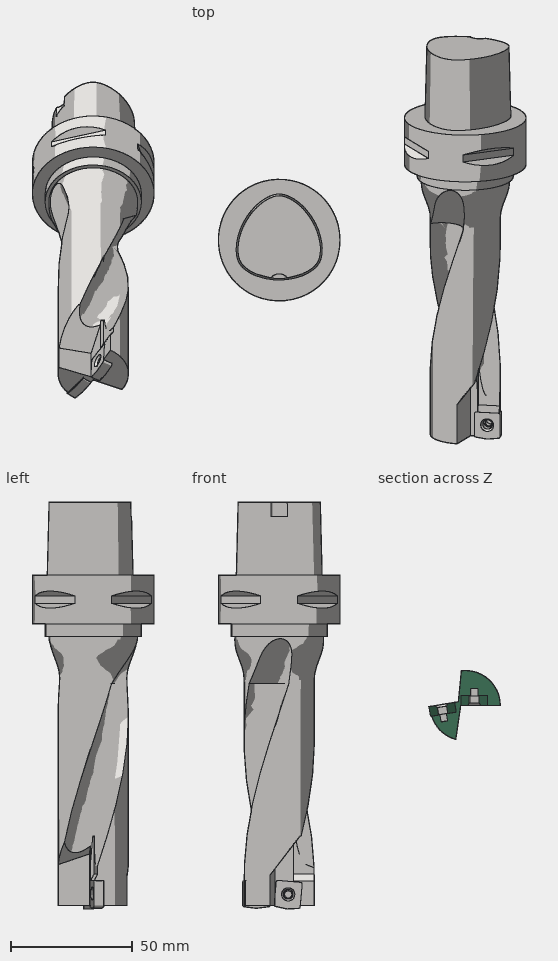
import cadquery as cq
import math

shank_length = 30.0
lobe_count = 3
first_lobe_angle = 90.0
shank_mean_radius = 17.65
shank_lobe_height = 1.27
shank_taper = 1 / 40
shank_lobe_half_angle = 38.0
shank_points_per_face = 7
notch_radius = 4.2
notch_depth = 1.8
notch_height = 5.8

flange_diameter = 50.0
flange_length = 20.0
collar_diameter = 39.5
collar_bottom = -25.2
neck_diameter = 36.5
neck_bottom = -26.5
drill_diameter = 28.9
neck_curve_bottom = -43.0
drill_bottom = -135.6
tool_tip = -136.99

groove_count = 4
groove_first_angle = 45.0
groove_center = -10.0
groove_floor_radius = 22.2
groove_floor_height = 3.0
groove_mouth_height = 7.0

flute_count = 2
flute_radius = 8.9
flute_wall_start = 11.2
flute_pitch = 272.0
flute_top = -44.5
flute_bottom = -124.5
runout_tilt = 37.0
runout_azimuth = 16.0

insert_thickness = 4.0
insert_size = 10.7
insert_point = 0.7
insert_corner_radius = 0.8
insert_hole_diameter = 4.0
insert_countersink_diameter = 5.4
insert_countersink_depth = 1.0
screw_hole_diameter = 3.0
screw_hole_depth = 3.0
central_insert_x = 3.7
central_insert_tilt = 5.0
outer_insert_x = 9.85
outer_insert_tip = -136.7
outer_seat_turn = 189.5
outer_seat_offset = 2.1

pocket_slope_head = (8.6, -107.0)
pocket_slope = 0.77
central_wall_inner_x = -1.8
central_wall_outer_x = -3.9
outer_wall_inner_x = 2.9
outer_wall_outer_x = -1.0
ledge_bottom = -125.4
ledge_top = -122.6
ledge_depth = 1.5
ledge_start_x = 5.9

drill_radius = drill_diameter / 2
clear = 40.0


def lobed_edge(start_angle, end_angle, height):
    """Part of the three-lobed outline between two surface directions in degrees."""
    mean = shank_mean_radius - shank_taper * height
    points = []
    for i in range(shank_points_per_face):
        step = i / (shank_points_per_face - 1)
        a = math.radians(start_angle + (end_angle - start_angle) * step)
        support = mean - shank_lobe_height * math.sin(lobe_count * a)
        slope = -lobe_count * shank_lobe_height * math.cos(lobe_count * a)
        x = support * math.cos(a) - slope * math.sin(a)
        y = support * math.sin(a) + slope * math.cos(a)
        points.append(cq.Vector(x, y, height))
    tangents = []
    for angle in (start_angle, end_angle):
        a = math.radians(angle)
        tangents.append(cq.Vector(-math.sin(a), math.cos(a), 0))
    return cq.Edge.makeSpline(points, tangents=tangents)


def lobed_outline(height):
    """Closed three-lobed wire at a height above the gauge face, one lobe on +Y."""
    edges = []
    lobe_pitch = 360 / lobe_count
    for lobe in range(lobe_count):
        lobe_angle = first_lobe_angle + lobe_pitch * lobe
        lobe_start = lobe_angle - shank_lobe_half_angle
        lobe_end = lobe_angle + shank_lobe_half_angle
        edges.append(lobed_edge(lobe_start, lobe_end, height))
        edges.append(lobed_edge(lobe_end, lobe_start + lobe_pitch, height))
    return cq.Wire.assembleEdges(edges)


def make_shank():
    shank = cq.Workplane(cq.Solid.makeLoft([lobed_outline(0), lobed_outline(shank_length)]))
    face_y = -(shank_mean_radius - shank_lobe_height - shank_taper * shank_length)
    notch = (
        cq.Workplane("XY", origin=(0, face_y + notch_depth - notch_radius, shank_length - notch_height))
        .circle(notch_radius)
        .extrude(notch_height)
    )
    return shank.cut(notch)


def make_turned_body():
    neck_radius = neck_diameter / 2
    return (
        cq.Workplane("XZ")
        .lineTo(flange_diameter / 2, 0)
        .lineTo(flange_diameter / 2, -flange_length)
        .lineTo(collar_diameter / 2, -flange_length)
        .lineTo(collar_diameter / 2, collar_bottom)
        .lineTo(neck_radius, collar_bottom)
        .lineTo(neck_radius, neck_bottom)
        .spline([(drill_radius, neck_curve_bottom)], tangents=[(0, -1), (0, -1)], includeCurrent=True)
        .lineTo(drill_radius, drill_bottom)
        .lineTo(0, drill_bottom)
        .close()
        .revolve(360, (0, 0, 0), (0, 1, 0))
    )


def make_gripper_groove():
    """Straight flat-floored V groove across the +X side of the flange."""
    run = flange_diameter / 2 - groove_floor_radius
    flare = (groove_mouth_height - groove_floor_height) / 2 / run
    reach = 2 * run
    half_floor = groove_floor_height / 2
    half_mouth = half_floor + flare * reach
    return (
        cq.Workplane("XZ", origin=(groove_floor_radius, 0, groove_center))
        .polyline([(0, -half_floor), (reach, -half_mouth), (reach, half_mouth), (0, half_floor)])
        .close()
        .extrude(flange_diameter / 2, both=True)
    )


def flute_section(plane):
    """Round-floored slot section, open outward along the plane's X, with one wall on the X axis."""
    return (
        cq.Workplane(plane)
        .moveTo(clear, 0)
        .lineTo(flute_wall_start, 0)
        .threePointArc(
            (flute_wall_start - flute_radius, -flute_radius),
            (flute_wall_start, -2 * flute_radius),
        )
        .lineTo(clear, -2 * flute_radius)
        .close()
    )


def make_flute():
    """Helical flute whose wall lies on +X at the bottom, with a tilted straight run-out at the top."""
    length = flute_top - flute_bottom
    twist = 360 * length / flute_pitch
    bottom_plane = cq.Plane(origin=(0, 0, flute_bottom))
    helix = flute_section(bottom_plane).twistExtrude(length, twist)

    top = math.radians(twist)
    radial = cq.Vector(math.cos(top), math.sin(top), 0)
    exit_angle = math.radians(twist - runout_azimuth)
    outward = cq.Vector(math.cos(exit_angle), math.sin(exit_angle), 0)
    tangent = cq.Vector(-math.sin(exit_angle), math.cos(exit_angle), 0)
    lead = tangent * (2 * math.pi * drill_radius / flute_pitch)
    path = cq.Vector(0, 0, 1) + lead + outward * math.tan(math.radians(runout_tilt))
    top_plane = cq.Plane(origin=(0, 0, flute_top), xDir=radial.toTuple())
    section = cq.Face.makeFromWires(flute_section(top_plane).wires().val())
    rise = collar_bottom - flute_top
    runout = cq.Solid.extrudeLinear(section, path * rise)
    return helix.union(cq.Workplane(runout))


def make_pocket(wall_inner_x, wall_outer_x):
    """Pocket to -Y of the insert face, its left wall leaning and then sloping away above."""
    head_x, head_z = pocket_slope_head
    foot_x = min(wall_inner_x, wall_outer_x)
    foot_z = head_z - (head_x - foot_x) / pocket_slope
    bottom = drill_bottom - clear
    opening = (
        cq.Workplane("XZ")
        .polyline([(foot_x, bottom), (foot_x, foot_z), (head_x, head_z), (clear, head_z), (clear, bottom)])
        .close()
        .extrude(clear)
    )
    web = (
        cq.Workplane("XY", origin=(0, 0, bottom))
        .polyline([(wall_inner_x, 0), (wall_outer_x, -drill_radius), (-clear, -drill_radius), (-clear, 0)])
        .close()
        .extrude(2 * clear)
    )
    ledge = (
        cq.Workplane("YZ", origin=(ledge_start_x, 0, 0))
        .polyline([(0, ledge_bottom), (ledge_depth, ledge_top), (ledge_depth, head_z), (0, head_z)])
        .close()
        .extrude(clear)
    )
    return opening.cut(web).union(ledge)


def make_insert():
    """Square insert with its face on Y = 0 looking to -Y, centred on the origin."""
    half = insert_size / 2
    return (
        cq.Workplane("XZ")
        .polyline([(-half, half), (half, half), (half, -half), (0, -half - insert_point), (-half, -half)])
        .close()
        .extrude(-insert_thickness)
        .edges("|Y and (>X or <X)")
        .fillet(insert_corner_radius)
    )


def make_insert_hole():
    hole = cq.Workplane("XZ").circle(insert_hole_diameter / 2).extrude(-insert_thickness)
    sink = cq.Solid.makeCone(
        insert_countersink_diameter / 2,
        insert_hole_diameter / 2,
        insert_countersink_depth,
        pnt=cq.Vector(0, 0, 0),
        dir=cq.Vector(0, 1, 0),
    )
    return hole.union(cq.Workplane(sink))


def make_screw_hole():
    return (
        cq.Workplane("XZ", origin=(0, insert_thickness, 0))
        .circle(screw_hole_diameter / 2)
        .extrude(-screw_hole_depth)
    )


def seat_central(shape):
    """Place a shape made for an insert at the central seat, facing -Y."""
    drop = (insert_size / 2 + insert_point) * math.cos(math.radians(central_insert_tilt))
    tilted = shape.rotate((0, 0, 0), (0, 1, 0), central_insert_tilt)
    return tilted.translate((central_insert_x, 0, tool_tip + drop))


def move_to_outer_seat(shape):
    """Carry a shape from the plane of the central seat to the plane of the outer seat, facing +Y."""
    return turned_about_axis(shape, outer_seat_turn).translate((0, outer_seat_offset, 0))


def seat_outer(shape):
    """Place a shape made for an insert at the outer seat."""
    lift = outer_insert_tip + insert_size / 2 + insert_point
    return move_to_outer_seat(shape.translate((outer_insert_x, 0, lift)))


def turned_about_axis(shape, angle):
    return shape.rotate((0, 0, 0), (0, 0, 1), angle)


body = make_turned_body().union(make_shank())
for i in range(groove_count):
    body = body.cut(turned_about_axis(make_gripper_groove(), groove_first_angle + 360 / groove_count * i))
flute = make_flute()
for i in range(flute_count):
    body = body.cut(turned_about_axis(flute, 360 / flute_count * i))
body = body.cut(make_pocket(central_wall_inner_x, central_wall_outer_x))
body = body.cut(move_to_outer_seat(make_pocket(outer_wall_inner_x, outer_wall_outer_x)))

inserts = []
for seat in (seat_central, seat_outer):
    blank = seat(make_insert())
    body = body.cut(blank).cut(seat(make_screw_hole()))
    inserts.append(blank.cut(seat(make_insert_hole())))

result = cq.Compound.makeCompound([body.val(), *[insert.val() for insert in inserts]])